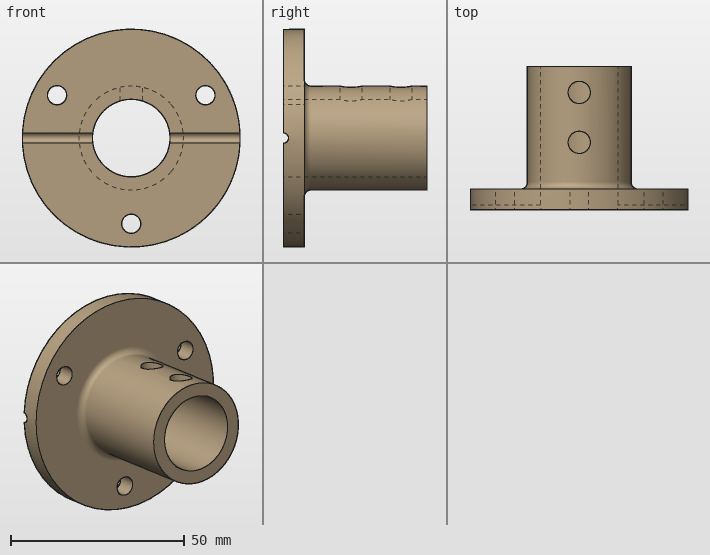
import cadquery as cq

flange_diameter = 63.0
flange_thickness = 6.05
hub_diameter = 30.1
total_length = 41.5
bore_diameter = 22.35
root_fillet = 1.9

mount_hole_diameter = 5.5
mount_circle_radius = 24.75
mount_hole_count = 3
first_mount_angle = -90

groove_radius = 1.45

screw_hole_diameter = 6.4
screw_end_distance = 7.55
screw_spacing = 14.4


def cylinder_along_y(diameter, length):
    """Cylinder from Y = 0 toward +Y, centred on the hub axis."""
    return cq.Workplane("XZ").circle(diameter / 2).extrude(-length)


def make_body():
    """Flange and hub joined by a fillet at the hub root."""
    flange = cylinder_along_y(flange_diameter, flange_thickness)
    body = flange.union(cylinder_along_y(hub_diameter, total_length))
    root_edge = cq.selectors.BoxSelector(
        (-hub_diameter, flange_thickness - root_fillet / 2, -hub_diameter),
        (hub_diameter, flange_thickness + root_fillet / 2, hub_diameter),
    )
    hub_root = body.edges(root_edge).edges(cq.selectors.RadiusNthSelector(0))
    return hub_root.fillet(root_fillet)


def make_mount_holes():
    return (
        cq.Workplane("XZ")
        .polarArray(mount_circle_radius, first_mount_angle, 360, mount_hole_count)
        .circle(mount_hole_diameter / 2)
        .extrude(-flange_thickness)
    )


def make_groove():
    return cq.Workplane("YZ").circle(groove_radius).extrude(flange_diameter / 2, both=True)


def make_screw_holes():
    """Radial cutters from the hub axis out through the +Z wall only."""
    first_y = total_length - screw_end_distance
    centers = [(0, first_y), (0, first_y - screw_spacing)]
    return (
        cq.Workplane("XY")
        .pushPoints(centers)
        .circle(screw_hole_diameter / 2)
        .extrude(hub_diameter)
    )


result = (
    make_body()
    .cut(cylinder_along_y(bore_diameter, total_length))
    .cut(make_mount_holes())
    .cut(make_groove())
    .cut(make_screw_holes())
)